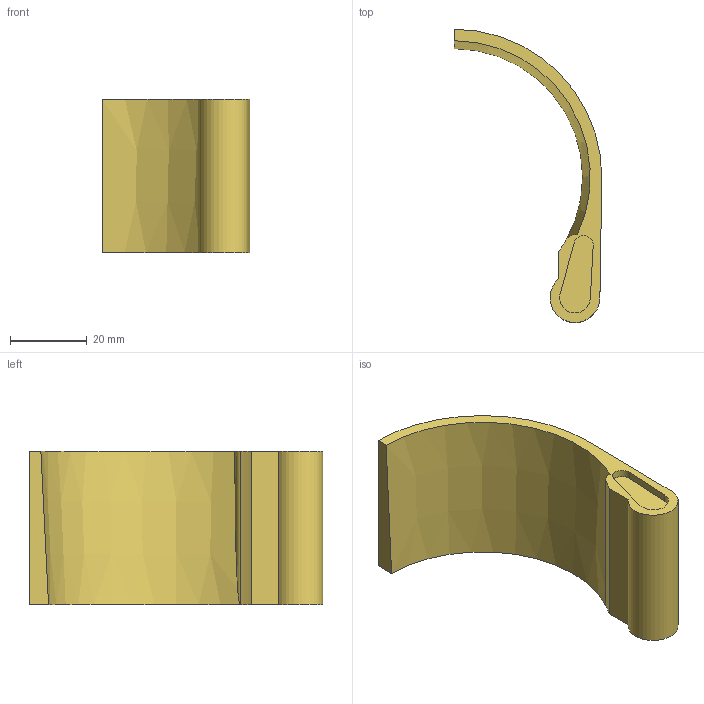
import cadquery as cq
import math

height = 40.0
ring_outer_radius = 38.5
bore_top_radius = 35.5
bore_bottom_radius = 33.5

knuckle_radius = 6.5
knuckle_x = 31.5
knuckle_y = -31.5

shank_inner_x = 27.25
corner_radius = 3.0
corner_x = 31.7

pocket_depth = 2.0
pocket_large_radius = 4.0
pocket_small_radius = 2.5
pocket_small_x = 33.75
pocket_small_y = -17.8

knuckle_center = (knuckle_x, knuckle_y)

shank_foot_y = knuckle_y + math.sqrt(knuckle_radius**2 - (knuckle_x - shank_inner_x) ** 2)
shank_foot = (shank_inner_x, shank_foot_y)

shank_head_y = -math.sqrt(bore_bottom_radius**2 - shank_inner_x**2)
shank_head = (shank_inner_x, shank_head_y)

corner_distance = bore_bottom_radius + corner_radius
corner_y = -math.sqrt(corner_distance**2 - corner_x**2)
corner_center = (corner_x, corner_y)
corner_angle = math.atan2(corner_y, corner_x)


def on_circle(center, radius, angle):
    """Point on a circle at an angle in radians from +X."""
    return (center[0] + radius * math.cos(angle), center[1] + radius * math.sin(angle))


def tangent_angle(center_a, radius_a, center_b, radius_b, side):
    """Direction of the normal to the outer tangent of two circles; side is +1 or -1."""
    dx = center_b[0] - center_a[0]
    dy = center_b[1] - center_a[1]
    spread = math.acos((radius_a - radius_b) / math.hypot(dx, dy))
    return math.atan2(dy, dx) + side * spread


def make_body():
    """Quarter ring, shank and knuckle, with the tapered bore removed."""
    ring_center = (0.0, 0.0)
    back_angle = tangent_angle(ring_center, ring_outer_radius, knuckle_center, knuckle_radius, 1)
    ring_middle_angle = (math.pi / 2 + back_angle) / 2
    outline = (
        cq.Workplane("XY")
        .moveTo(0, 0)
        .lineTo(0, ring_outer_radius)
        .threePointArc(
            on_circle(ring_center, ring_outer_radius, ring_middle_angle),
            on_circle(ring_center, ring_outer_radius, back_angle),
        )
        .lineTo(*on_circle(knuckle_center, knuckle_radius, back_angle))
        .threePointArc(on_circle(knuckle_center, knuckle_radius, -math.pi / 2), shank_foot)
        .lineTo(shank_inner_x, 0)
        .close()
    )
    bore = cq.Workplane(cq.Solid.makeCone(bore_bottom_radius, bore_top_radius, height))
    return outline.extrude(height).cut(bore)


def make_shank_lip():
    """Straight-walled lip that fills the bore taper beside the shank."""
    head_angle = math.atan2(shank_head_y, shank_inner_x)
    middle_angle = (corner_angle + head_angle) / 2
    lip = (
        cq.Workplane("XY")
        .moveTo(*corner_center)
        .lineTo(*on_circle((0, 0), bore_bottom_radius, corner_angle))
        .threePointArc(on_circle((0, 0), bore_bottom_radius, middle_angle), shank_head)
        .lineTo(*shank_foot)
        .lineTo(*knuckle_center)
        .close()
        .extrude(height)
    )
    corner = cq.Workplane("XY").center(*corner_center).circle(corner_radius).extrude(height)
    return lip.union(corner)


def make_pocket():
    """Pocket with two round ends of different size, joined by tangent sides."""
    small_center = (pocket_small_x, pocket_small_y)
    ends = (knuckle_center, pocket_large_radius, small_center, pocket_small_radius)
    left_angle = tangent_angle(*ends, 1)
    right_angle = tangent_angle(*ends, -1)
    axis_angle = (left_angle + right_angle) / 2
    return (
        cq.Workplane("XY", origin=(0, 0, height - pocket_depth))
        .moveTo(*on_circle(knuckle_center, pocket_large_radius, right_angle))
        .lineTo(*on_circle(small_center, pocket_small_radius, right_angle))
        .threePointArc(
            on_circle(small_center, pocket_small_radius, axis_angle),
            on_circle(small_center, pocket_small_radius, left_angle),
        )
        .lineTo(*on_circle(knuckle_center, pocket_large_radius, left_angle))
        .threePointArc(
            on_circle(knuckle_center, pocket_large_radius, axis_angle + math.pi),
            on_circle(knuckle_center, pocket_large_radius, right_angle),
        )
        .close()
        .extrude(pocket_depth)
    )


result = make_body().union(make_shank_lip()).cut(make_pocket())